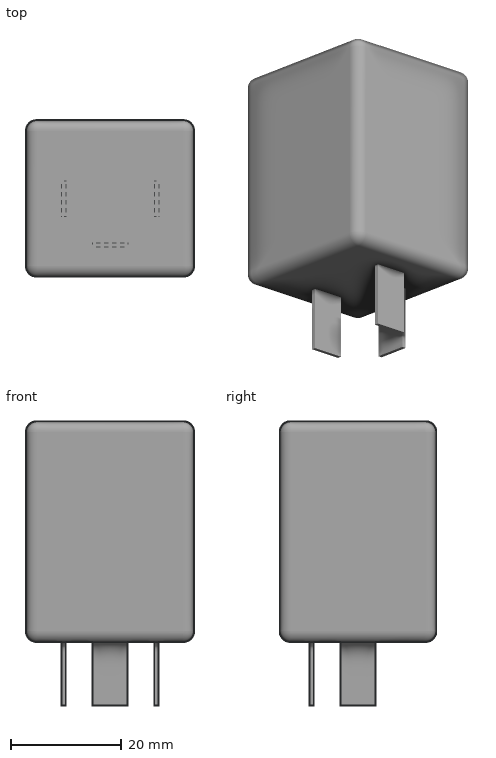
import cadquery as cq

body_x = 30.5
body_y = 28.4
body_z = 40.0
edge_radius = 2.0

blade_width = 6.4
blade_thickness = 0.8
blade_length = 11.5
blade_offset = 8.4


def make_housing():
    """Block with every edge rounded, standing on the XY plane."""
    block = cq.Workplane("XY").box(body_x, body_y, body_z, centered=(True, True, False))
    return block.edges().fillet(edge_radius)


def make_blade(x, y, size_x, size_y):
    """Flat blade centred on (x, y), reaching down from the underside."""
    return cq.Workplane("XY").center(x, y).rect(size_x, size_y).extrude(-blade_length)


result = make_housing()

for side in (-1, 1):
    result = result.union(make_blade(side * blade_offset, 0, blade_thickness, blade_width))

result = result.union(make_blade(0, -blade_offset, blade_width, blade_thickness))